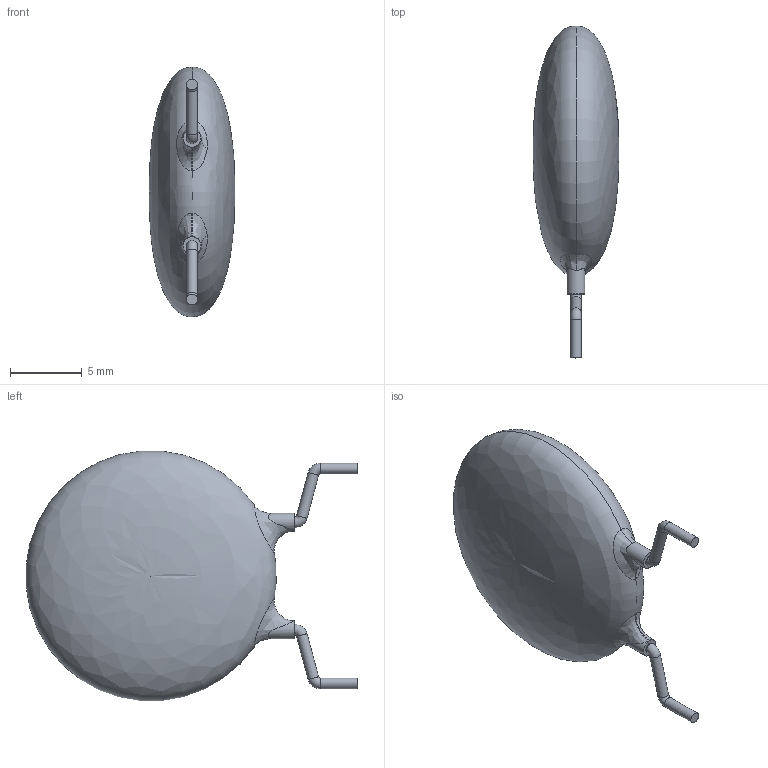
import cadquery as cq
import math

disc_radius = 8.75
disc_half_thickness = 3.0
face_fullness = 0.70
rim_fullness = 0.55

neck_pitch = 7.5
neck_diameter = 1.25
neck_end_y = -10.0
neck_root_y = -6.5
neck_fillet = 1.4

wire_diameter = 0.75
tip_pitch = 15.0
tip_y = -14.45
first_bend_y = -10.05
bend_radius = 0.5
bend_angle = 75.0

SIDES = (1, -1)


def make_disc():
    """Revolve the lens profile about the X axis."""
    face_handle = face_fullness * disc_radius
    rim_handle = rim_fullness * disc_half_thickness
    profile = (
        cq.Workplane("XY")
        .moveTo(-disc_half_thickness, 0)
        .bezier([
            (-disc_half_thickness, 0),
            (-disc_half_thickness, -face_handle),
            (-rim_handle, -disc_radius),
            (0, -disc_radius),
        ])
        .bezier([
            (0, -disc_radius),
            (rim_handle, -disc_radius),
            (disc_half_thickness, -face_handle),
            (disc_half_thickness, 0),
        ])
        .close()
    )
    return profile.revolve(360, (0, 0, 0), (1, 0, 0))


def make_neck(side):
    """Cylinder along Y from inside the disc to the neck end."""
    return (
        cq.Workplane("XZ", origin=(0, neck_root_y, side * neck_pitch / 2))
        .circle(neck_diameter / 2)
        .extrude(neck_root_y - neck_end_y)
    )


def neck_root_selector(side):
    """Box around the edges where a neck meets the disc, clear of the neck end."""
    half_box = neck_diameter
    z = side * neck_pitch / 2
    return cq.selectors.BoxSelector(
        (-half_box, neck_root_y, z - half_box),
        (half_box, neck_end_y + neck_diameter / 2, z + half_box),
    )


def make_body():
    body = make_disc()
    for side in SIDES:
        body = body.union(make_neck(side))
    for side in SIDES:
        body = body.edges(neck_root_selector(side)).fillet(neck_fillet)
    return body


def make_lead(side):
    """Sweep the wire from the neck end through its two bends to the tip."""
    angle = math.radians(bend_angle)
    bend_length = bend_radius * math.sin(angle)
    bend_rise = bend_radius * (1 - math.cos(angle))
    half_bend_length = bend_radius * math.sin(angle / 2)
    half_bend_rise = bend_radius * (1 - math.cos(angle / 2))

    start_z = neck_pitch / 2
    tip_z = tip_pitch / 2
    slope_rise = tip_z - start_z - 2 * bend_rise
    slope_length = slope_rise / math.tan(angle)
    slope_start_y = first_bend_y - bend_length
    slope_end_y = slope_start_y - slope_length
    last_bend_y = slope_end_y - bend_length

    path = (
        cq.Workplane("YZ")
        .moveTo(neck_end_y, side * start_z)
        .lineTo(first_bend_y, side * start_z)
        .threePointArc(
            (first_bend_y - half_bend_length, side * (start_z + half_bend_rise)),
            (slope_start_y, side * (start_z + bend_rise)),
        )
        .lineTo(slope_end_y, side * (tip_z - bend_rise))
        .threePointArc(
            (last_bend_y + half_bend_length, side * (tip_z - half_bend_rise)),
            (last_bend_y, side * tip_z),
        )
        .lineTo(tip_y, side * tip_z)
    )
    return (
        cq.Workplane("XZ", origin=(0, neck_end_y, side * start_z))
        .circle(wire_diameter / 2)
        .sweep(path)
    )


body = make_body()
leads = [make_lead(side) for side in SIDES]

result = cq.Compound.makeCompound([body.solids().val(), *[lead.val() for lead in leads]])